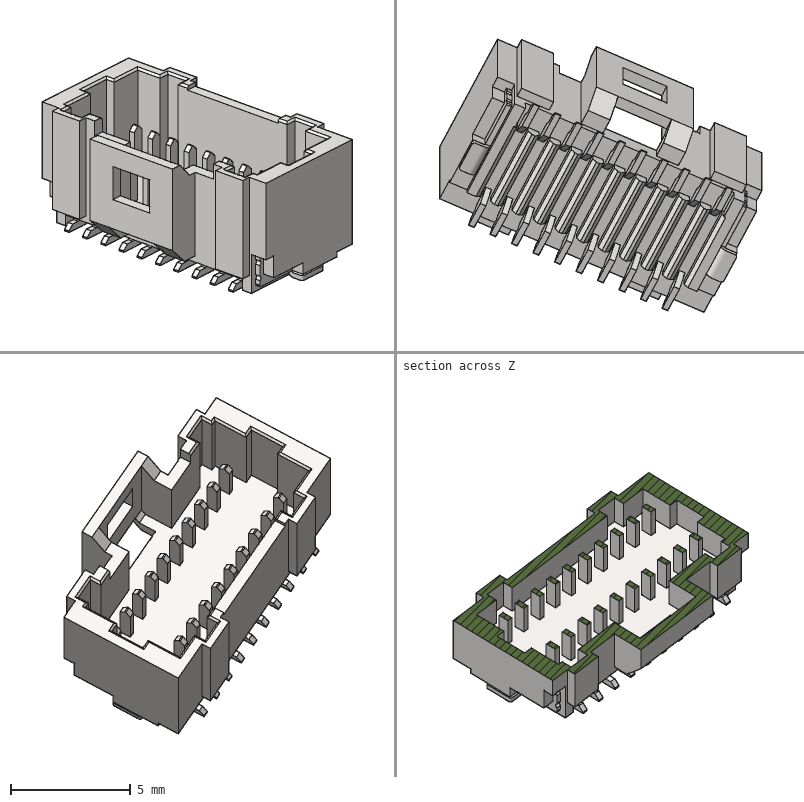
import cadquery as cq


length = 12.3
height = 5.4
body_depth = 5.61
half_length = length / 2
body_back = body_depth / 2
body_front = -body_back
floor_top = 1.38
row_underside = 0.54
end_underside = 0.31
standoff_bottom = 0.04

cavity_length = 10.43
cavity_depth = 4.6
side_pocket_span = 11.27
side_pocket_width = 1.53
lead_in = 0.1

lug_width = 1.49
lug_projection = 0.42
lug_bottom = 0.84
lug_pocket_width = 1.0
back_lug_x = 3.49
front_lug_x = 4.49

back_notch_length = 4.97
back_notch_depth = 0.18
front_notch_length = 6.52
front_notch_depth = 0.69

latch_width = 4.53
latch_front = -4.28
latch_wall_back = -3.79
latch_slope_start = -3.16
latch_bevel = 0.79
latch_inner_width = 3.45
latch_inner_bevel = 0.2
latch_gap_width = 2.48
latch_gap_top = lug_bottom + latch_bevel
window_width = 2.03
window_bottom = 2.98
window_top = 4.51

standoff_half_length = 5.35
standoff_foot_width = 0.49
comb_half_depth = 1.82
tooth_width = 0.49
tooth_bevel = 0.17

pin_row_length = 9.0
pins_per_row = 10
pitch = pin_row_length / (pins_per_row - 1)
contact_positions = [i * pitch - pin_row_length / 2 for i in range(pins_per_row)]
row_y = 1.33
pin_width = 0.26
pin_depth = 0.5
pin_top = 3.32
pin_bevel = 0.22
lead_end = 3.15
lead_height = 0.31
lead_tip = 0.07
lead_slope_top = 2.56
lead_slope_bottom = 2.02
lead_root = 0.86

tab_thickness = 0.23
tab_front = -2.53
tab_tip_height = 0.09
tab_tip_inset = 0.04
tab_pad_front = -0.44
tab_pad_back = 0.97
tab_corner_radius = 0.12
tab_bend_radius = 0.07
groove_radius = 0.11
groove_y = -2.57
groove_heights = (0.71, 1.41)
recess_top = 1.85
recess_step = 0.84
recess_back_upper = -2.3
recess_back_lower = -0.4


def block(x_range, y_range, z_range):
    """Box between the given limits along each axis."""
    x0, x1 = x_range
    y0, y1 = y_range
    z0, z1 = z_range
    return cq.Workplane("XY").box(x1 - x0, y1 - y0, z1 - z0, centered=False).translate((x0, y0, z0))


def centered_block(width, y_range, z_range, x=0):
    """Box of the given X width, centred at x."""
    return block((x - width / 2, x + width / 2), y_range, z_range)


def side_profile(points, width, x=0):
    """Y-Z outline extruded to the given X width, centred at x."""
    return cq.Workplane("YZ").polyline(points).close().extrude(width / 2, both=True).translate((x, 0, 0))


def mirrored_pair(shape):
    """A shape together with its copy on the other X end."""
    return shape.union(shape.mirror("YZ"))


def make_walls():
    """Outer block with lugs, standing on its lowered end walls."""
    walls = centered_block(length, (body_front, body_back), (row_underside, height))
    walls = walls.union(
        centered_block(length, (body_front, comb_half_depth), (end_underside, floor_top))
    )
    walls = walls.cut(
        centered_block(2 * standoff_half_length, (body_front, comb_half_depth), (0, row_underside))
    )
    back_y = (0, body_back + lug_projection)
    front_y = (body_front - lug_projection, 0)
    lug_z = (lug_bottom, height)
    for side in (-1, 1):
        walls = walls.union(centered_block(lug_width, back_y, lug_z, side * back_lug_x))
        walls = walls.union(centered_block(lug_width, front_y, lug_z, side * front_lug_x))
    return walls


def make_latch():
    """Solid latch frame with a bevelled lower front edge and a slope behind the top."""
    shoulder = height - front_notch_depth
    return side_profile(
        [
            (body_front, lug_bottom),
            (latch_front + latch_bevel, lug_bottom),
            (latch_front, latch_gap_top),
            (latch_front, height),
            (latch_wall_back, height),
            (latch_slope_start, shoulder),
            (body_front, shoulder),
        ],
        latch_width,
    )


def make_cavity():
    """Mating cavity with its side pockets and lug pockets."""
    z_range = (floor_top, height)
    cavity = centered_block(cavity_length, (-cavity_depth / 2, cavity_depth / 2), z_range)
    cavity = cavity.union(
        centered_block(side_pocket_span, (-side_pocket_width / 2, side_pocket_width / 2), z_range)
    )
    for side in (-1, 1):
        cavity = cavity.union(centered_block(lug_pocket_width, (0, body_back), z_range, side * back_lug_x))
        cavity = cavity.union(centered_block(lug_pocket_width, (body_front, 0), z_range, side * front_lug_x))
    return cavity


def bevel_rim(shell):
    """Lead-in bevel around the mouth of the cavity."""
    rim_edges = shell.faces(">Z").val().innerWires()[0].Edges()
    return shell.newObject(rim_edges).chamfer(lead_in)


def make_latch_openings():
    """Room behind the latch, the gap under it and its window."""
    room = side_profile(
        [
            (0, floor_top),
            (latch_wall_back + latch_inner_bevel, floor_top),
            (latch_wall_back, floor_top + latch_inner_bevel),
            (latch_wall_back, height),
            (0, height),
        ],
        latch_inner_width,
    )
    gap = centered_block(latch_gap_width, (latch_wall_back, body_front), (0, height))
    gap = gap.union(centered_block(latch_gap_width, (latch_front, body_front), (0, latch_gap_top)))
    window = centered_block(window_width, (latch_front, body_front), (window_bottom, window_top))
    return room.union(gap).union(window)


def make_wall_notches():
    """Cut-downs in the rims of the back and front walls."""
    back = centered_block(back_notch_length, (0, body_back), (height - back_notch_depth, height))
    front = centered_block(front_notch_length, (body_front, 0), (height - front_notch_depth, height))
    return back.union(front)


def make_standoff():
    """Comb of pointed teeth between the leads, with a block at each end and feet at the front."""
    top = row_underside
    slot_width = pitch - tooth_width
    half_mouth = slot_width / 2 + tooth_bevel
    y_range = (-comb_half_depth, comb_half_depth)
    standoff = centered_block(2 * standoff_half_length, y_range, (standoff_bottom, top))
    slot = (
        cq.Workplane("XZ")
        .polyline(
            [
                (-half_mouth, standoff_bottom),
                (-slot_width / 2, standoff_bottom + tooth_bevel),
                (-slot_width / 2, top),
                (slot_width / 2, top),
                (slot_width / 2, standoff_bottom + tooth_bevel),
                (half_mouth, standoff_bottom),
            ]
        )
        .close()
        .extrude(comb_half_depth, both=True)
    )
    for x in contact_positions:
        standoff = standoff.cut(slot.translate((x, 0, 0)))
    foot = block(
        (-standoff_half_length, standoff_foot_width - standoff_half_length),
        (body_front, -comb_half_depth),
        (standoff_bottom, top),
    )
    return standoff.union(mirrored_pair(foot))


def make_tab_recess():
    """L-shaped recess in the left front corner that shows the solder tab."""
    x_range = (-half_length, -standoff_half_length)
    tall = block(x_range, (body_front, recess_back_upper), (0, recess_top))
    low = block(x_range, (body_front, recess_back_lower), (0, recess_step))
    return tall.union(low)


def make_tab():
    """Left solder tab: an upright plate, grooved at the front, whose foot bends outward."""
    inner = -standoff_half_length
    outer = inner - tab_thickness
    plate_x = (outer, inner)
    plate = side_profile(
        [
            (tab_front + tab_tip_inset, end_underside),
            (tab_front, end_underside + tab_tip_height),
            (tab_front, recess_top - tab_tip_height),
            (tab_front + tab_tip_inset, recess_top),
            (recess_back_upper, recess_top),
            (recess_back_upper, end_underside),
        ],
        tab_thickness,
        (outer + inner) / 2,
    )
    plate = plate.union(block(plate_x, (recess_back_upper, tab_pad_back), (end_underside, recess_step)))
    for z in groove_heights:
        groove = cq.Workplane("YZ").center(groove_y, z).circle(groove_radius).extrude(length, both=True)
        plate = plate.cut(groove)

    pad_y = (tab_pad_front, tab_pad_back)
    foot = block((-half_length, inner), pad_y, (0, tab_thickness))
    foot = foot.edges("|Z and <X").fillet(tab_corner_radius)
    foot = foot.union(block(plate_x, pad_y, (0, recess_step)))
    foot = foot.edges("|Y and >X and <Z").fillet(tab_bend_radius + tab_thickness)
    inside_bend = cq.selectors.NearestToPointSelector((outer, sum(pad_y) / 2, tab_thickness))
    foot = foot.edges(inside_bend).fillet(tab_bend_radius)
    return plate.union(foot)


def make_contact():
    """Back-row contact: bevelled pin and sloped lead out to the board."""
    pin_front = row_y - pin_depth / 2
    pin_back = row_y + pin_depth / 2
    pin = side_profile(
        [
            (pin_front, row_underside),
            (pin_back, row_underside),
            (pin_back, pin_top - pin_bevel),
            (pin_back - pin_bevel, pin_top),
            (pin_front + pin_bevel, pin_top),
            (pin_front, pin_top - pin_bevel),
        ],
        pin_width,
    )
    lead = side_profile(
        [
            (lead_end, 0),
            (lead_end, lead_tip),
            (lead_end - lead_height + lead_tip, lead_height),
            (lead_slope_top, lead_height),
            (lead_slope_top - row_underside + lead_height, row_underside),
            (pin_back, lead_root),
            (pin_front, lead_root),
            (lead_slope_bottom - row_underside, row_underside),
            (lead_slope_bottom, 0),
        ],
        pin_width,
    )
    return pin.union(lead)


housing = bevel_rim(make_walls().cut(make_cavity()))
housing = housing.cut(make_wall_notches())
housing = housing.union(make_latch()).cut(make_latch_openings())
housing = housing.union(make_standoff())
housing = housing.cut(mirrored_pair(make_tab_recess()))

result = housing.union(mirrored_pair(make_tab()))
contact = make_contact()
for x in contact_positions:
    back_contact = contact.translate((x, 0, 0))
    result = result.union(back_contact).union(back_contact.mirror("XZ"))